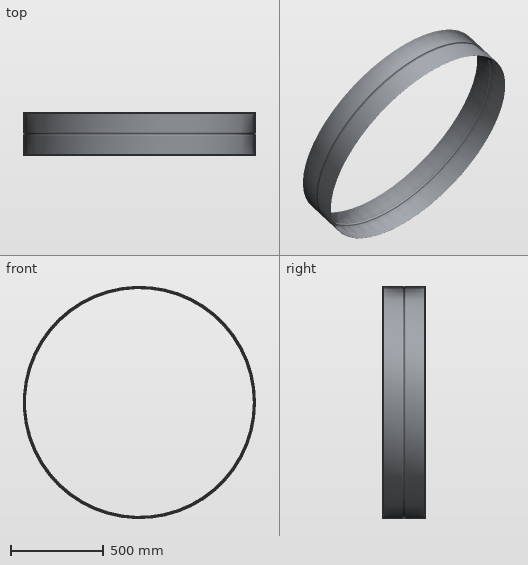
import cadquery as cq
import math

outer_diameter = 1252.0
sleeve_width = 229.0
sheet_thickness = 0.6

groove_floor_diameter = 1236.0
groove_mouth_width = 13.0
groove_floor_width = 8.0
floor_bend_radius = 1.9
lip_bend_radius = 1.0

half_width = sleeve_width / 2
groove_depth = (outer_diameter - groove_floor_diameter) / 2
wall_run = (groove_mouth_width - groove_floor_width) / 2
wall_angle = math.atan2(groove_depth, wall_run)
miter_slope = math.tan(wall_angle / 2)


def grooved_disc(inset):
    """Solid disc about Y, bounded by the sheet's outer face moved inward by the inset."""
    rim = outer_diameter / 2 - inset
    floor = groove_floor_diameter / 2 - inset
    mouth_y = groove_mouth_width / 2 + inset * miter_slope
    floor_y = groove_floor_width / 2 + inset * miter_slope

    lip_setback = (lip_bend_radius - inset) * miter_slope
    floor_setback = (floor_bend_radius + inset) * miter_slope

    lip_edge = mouth_y + lip_setback
    floor_edge = floor_y - floor_setback
    wall_top = rim - lip_setback * math.sin(wall_angle)
    wall_top_y = mouth_y - lip_setback * math.cos(wall_angle)
    wall_foot = floor + floor_setback * math.sin(wall_angle)
    wall_foot_y = floor_y + floor_setback * math.cos(wall_angle)

    return (
        cq.Workplane("XY")
        .moveTo(0, -half_width)
        .lineTo(rim, -half_width)
        .lineTo(rim, -lip_edge)
        .tangentArcPoint((wall_top, -wall_top_y), relative=False)
        .lineTo(wall_foot, -wall_foot_y)
        .tangentArcPoint((floor, -floor_edge), relative=False)
        .lineTo(floor, floor_edge)
        .tangentArcPoint((wall_foot, wall_foot_y), relative=False)
        .lineTo(wall_top, wall_top_y)
        .tangentArcPoint((rim, lip_edge), relative=False)
        .lineTo(rim, half_width)
        .lineTo(0, half_width)
        .close()
        .revolve(360, (0, 0, 0), (0, 1, 0))
    )


result = grooved_disc(0).cut(grooved_disc(sheet_thickness))